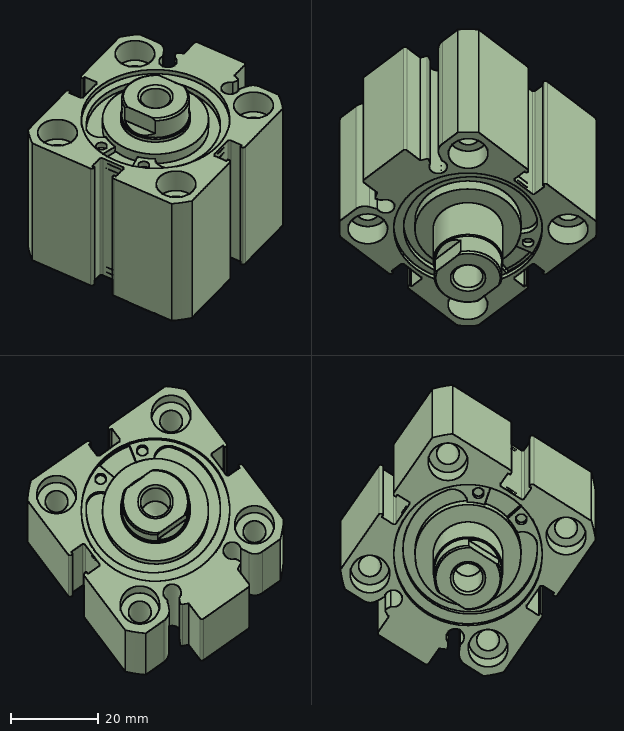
import cadquery as cq
import math

housing_width = 45.0
housing_height = 36.0
half_width = housing_width / 2
corner_radius = 29.5

port_width = 13.9
port_reach = 27.5
port_fillet = 0.6

mount_offset = 16.25
mount_diameter = 5.15
counterbore_diameter = 9.05
counterbore_depth = 6.0

bore_radius = 17.05
groove_radius = 17.8
ring_thickness = 1.55
ring_depth = 1.25

slot_width = 6.5
slot_mouth_width = 5.2
slot_lip = 0.95
slot_lip_fillet = 0.6
slot_floor_fillet = 0.5
slot_wall = 0.2
slot_floor = groove_radius + slot_wall

channel_x = 8.5
channel_y = 18.25
channel_radius = 2.05
neck_width = 2.75
neck_tilt = 26.0
neck_tip_fillet = 0.35
neck_mouth_fillet = 3.0

rod_diameter = 16.0
rod_radius = rod_diameter / 2
rod_end_radius = 7.75
rod_end_length = 6.0
rod_shoulder_chamfer = rod_radius - rod_end_radius
rod_top_reach = 6.9
rod_length = 60.0
rod_bottom = housing_height + rod_top_reach - rod_length
flat_width = 13.1
flat_length = 4.45
rod_edge_run = 0.55
rod_edge_inset = 0.35
tap_radius = 3.4
tap_mouth_radius = 4.0
tap_depth = 12.0
drill_half_angle = 59.0

cover_boss_radius = 12.2
cover_length = 12.0
cover_flange_depth = ring_depth + ring_thickness

ring_opening_radius = 15.4
ring_opening_shift = 0.9
ring_lug_radius = 12.35
ring_lug_half_angle = 33.5
ring_gap_half_angle = 14.5
ring_scallop_radius = 3.3
ring_scallop_angle = 52.0
plier_hole_diameter = 2.5
plier_hole_radius = 14.75
plier_hole_angle = 23.4
ring_turn = -0.8


def polar(radius, angle):
    """Point at an angle in degrees measured from -Y towards +X."""
    return (radius * math.sin(math.radians(angle)), -radius * math.cos(math.radians(angle)))


def cylinder(radius, bottom, height):
    return cq.Workplane("XY").workplane(offset=bottom).circle(radius).extrude(height)


def flip_end_for_end(body):
    """Mirror a body from the top end of the housing to the bottom end."""
    return body.mirror("XY", (0, 0, housing_height / 2))


def fillet_upright_edge(body, x, y, radius):
    edge = cq.selectors.NearestToPointSelector((x, y, housing_height / 2))
    return body.edges("|Z").edges(edge).fillet(radius)


def housing_blank():
    block = cq.Workplane("XY").rect(housing_width, housing_width).extrude(housing_height)
    block = block.intersect(cylinder(corner_radius, 0, housing_height))
    port_depth = port_reach - half_width
    port = (
        cq.Workplane("XY")
        .center(0, half_width + port_depth / 2)
        .rect(port_width, port_depth)
        .extrude(housing_height)
        .edges("|Z and >Y")
        .fillet(port_fillet)
    )
    return block.union(port)


def t_slot():
    """T-slot cutter for the -Y side."""
    lip_inner = half_width - slot_lip
    channel = (
        cq.Workplane("XY")
        .center(0, -(slot_floor + lip_inner) / 2)
        .rect(slot_width, lip_inner - slot_floor)
        .extrude(housing_height)
        .edges("|Z and >Y")
        .fillet(slot_floor_fillet)
    )
    mouth = (
        cq.Workplane("XY")
        .center(0, -(slot_floor + half_width) / 2)
        .rect(slot_mouth_width, half_width - slot_floor)
        .extrude(housing_height)
    )
    return channel.union(mouth)


def cut_t_slots(body):
    for angle in (-90, 0, 90):
        body = body.cut(t_slot().rotate((0, 0, 0), (0, 0, 1), angle))
        for side in (-1, 1):
            x = side * slot_mouth_width / 2
            turn = math.radians(angle)
            edge_x = x * math.cos(turn) + half_width * math.sin(turn)
            edge_y = x * math.sin(turn) - half_width * math.cos(turn)
            body = fillet_upright_edge(body, edge_x, edge_y, slot_lip_fillet)
    return body


def cut_switch_grooves(body):
    sine = math.sin(math.radians(neck_tilt))
    cosine = math.cos(math.radians(neck_tilt))

    def neck_point(along, inward):
        return (channel_x + along * sine - inward * cosine, channel_y + along * cosine + inward * sine)

    port_corner = (port_width / 2, half_width)
    tip_along = (port_corner[0] - channel_x) * sine + (port_corner[1] - channel_y) * cosine
    mouth_along = (half_width - channel_y + neck_width / 2 * sine) / cosine
    neck_tip = neck_point(tip_along, neck_width / 2)
    neck_mouth = neck_point(mouth_along, -neck_width / 2)
    neck = [neck_point(0, -neck_width / 2), neck_mouth, port_corner, neck_tip, neck_point(0, neck_width / 2)]
    groove = cq.Workplane("XY").polyline(neck).close().extrude(housing_height)
    channel = cq.Workplane("XY").center(channel_x, channel_y).circle(channel_radius).extrude(housing_height)
    groove = groove.union(channel)
    for side, cutter in ((1, groove), (-1, groove.mirror("YZ"))):
        body = body.cut(cutter)
        body = fillet_upright_edge(body, side * neck_tip[0], neck_tip[1], neck_tip_fillet)
        body = fillet_upright_edge(body, side * neck_mouth[0], neck_mouth[1], neck_mouth_fillet)
    return body


def cut_mounting_holes(body):
    corners = [(x, y) for x in (-mount_offset, mount_offset) for y in (-mount_offset, mount_offset)]
    holes = cq.Workplane("XY").pushPoints(corners).circle(mount_diameter / 2).extrude(housing_height)
    counterbores = (
        cq.Workplane("XY")
        .workplane(offset=housing_height - counterbore_depth)
        .pushPoints(corners)
        .circle(counterbore_diameter / 2)
        .extrude(counterbore_depth)
    )
    return body.cut(holes).cut(counterbores).cut(flip_end_for_end(counterbores))


def cut_bore(body):
    groove = cylinder(groove_radius, housing_height - ring_depth - ring_thickness, ring_thickness)
    body = body.cut(cylinder(bore_radius, 0, housing_height))
    return body.cut(groove).cut(flip_end_for_end(groove))


def make_housing():
    body = housing_blank()
    body = cut_t_slots(body)
    body = cut_switch_grooves(body)
    body = cut_mounting_holes(body)
    return cut_bore(body)


def rod_end_hole():
    """Tapped-hole cutter for the top end of the rod."""
    top = rod_bottom + rod_length
    chamfer = tap_mouth_radius - tap_radius
    tip = tap_depth + tap_radius / math.tan(math.radians(drill_half_angle))
    profile = [
        (0, top),
        (tap_mouth_radius, top),
        (tap_radius, top - chamfer),
        (tap_radius, top - tap_depth),
        (0, top - tip),
    ]
    return cq.Workplane("XZ").polyline(profile).close().revolve(360, (0, 0, 0), (0, 1, 0))


def rod_end_flats():
    """Cutter for the two wrench flats at the top end, each running out at 45 degrees."""
    top = rod_bottom + rod_length
    flat = flat_width / 2
    runout = rod_radius - flat
    profile = [
        (flat, top),
        (flat, top - flat_length),
        (flat + runout, top - flat_length - runout),
        (flat + runout, top),
    ]
    cutter = cq.Workplane("YZ").polyline(profile).close().extrude(rod_radius, both=True)
    return cutter.union(cutter.mirror("XZ"))


def make_rod():
    top = rod_bottom + rod_length
    middle = rod_bottom + rod_length / 2
    shoulder = top - rod_end_length
    profile = [
        (0, middle),
        (rod_radius, middle),
        (rod_radius, shoulder),
        (rod_end_radius, shoulder + rod_shoulder_chamfer),
        (rod_end_radius, top - rod_edge_run),
        (rod_end_radius - rod_edge_inset, top),
        (0, top),
    ]
    half = cq.Workplane("XZ").polyline(profile).close().revolve(360, (0, 0, 0), (0, 1, 0))
    half = half.cut(rod_end_flats()).cut(rod_end_hole())
    return half.union(half.mirror("XY", (0, 0, middle)))


def make_top_cover():
    flange_length = cover_length - cover_flange_depth
    flange = cylinder(bore_radius, housing_height - cover_length, flange_length)
    boss = cylinder(cover_boss_radius, housing_height - cover_flange_depth, cover_flange_depth)
    rod_hole = cylinder(rod_radius, housing_height - cover_length, cover_length)
    return flange.union(boss).cut(rod_hole)


def make_top_ring():
    opening_y = -ring_opening_shift

    def opening_point(radius, angle):
        x, y = polar(radius, angle)
        return (x, y + opening_y)

    def scallop_bottom(side):
        x, y = opening_point(ring_opening_radius - ring_scallop_radius, side * ring_scallop_angle)
        return (x, y - ring_scallop_radius)

    lug_middle_angle = (ring_lug_half_angle + ring_gap_half_angle) / 2
    ring = (
        cq.Workplane("XY")
        .workplane(offset=housing_height - ring_depth - ring_thickness)
        .moveTo(*polar(groove_radius, ring_gap_half_angle))
        .threePointArc((0, groove_radius), polar(groove_radius, -ring_gap_half_angle))
        .lineTo(*polar(ring_lug_radius, -ring_gap_half_angle))
        .threePointArc(
            polar(ring_lug_radius, -lug_middle_angle), polar(ring_lug_radius, -ring_lug_half_angle)
        )
        .threePointArc(scallop_bottom(-1), opening_point(ring_opening_radius, -ring_scallop_angle))
        .threePointArc(
            (0, opening_y + ring_opening_radius), opening_point(ring_opening_radius, ring_scallop_angle)
        )
        .threePointArc(scallop_bottom(1), polar(ring_lug_radius, ring_lug_half_angle))
        .threePointArc(
            polar(ring_lug_radius, lug_middle_angle), polar(ring_lug_radius, ring_gap_half_angle)
        )
        .close()
        .extrude(ring_thickness)
    )
    plier_points = [polar(plier_hole_radius, side * plier_hole_angle) for side in (-1, 1)]
    plier_holes = (
        cq.Workplane("XY").pushPoints(plier_points).circle(plier_hole_diameter / 2).extrude(housing_height)
    )
    return ring.cut(plier_holes).rotate((0, 0, 0), (0, 0, 1), ring_turn)


housing = make_housing()
rod = make_rod()
top_cover = make_top_cover()
covers = [top_cover, flip_end_for_end(top_cover)]
top_ring = make_top_ring()
rings = [top_ring, flip_end_for_end(top_ring)]

result = cq.Compound.makeCompound(
    [housing.val(), rod.val()] + [cover.val() for cover in covers] + [ring.val() for ring in rings]
)